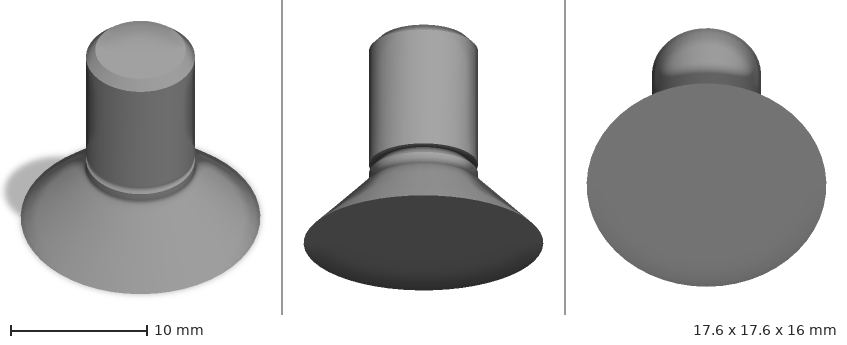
import cadquery as cq
import math

head_diameter = 17.59
total_height = 16.0
shank_diameter = 8.0
root_diameter = 6.65
groove_top_height = 6.23
neck_fillet_radius = 0.39

head_radius = head_diameter / 2
shank_radius = shank_diameter / 2
root_radius = root_diameter / 2
chamfer = shank_radius - root_radius

fillet_center_radius = shank_radius + neck_fillet_radius
half_turn = math.radians(22.5)
full_turn = math.radians(45)
cone_top_radius = fillet_center_radius - neck_fillet_radius * math.cos(full_turn)
cone_top_height = head_radius - cone_top_radius
fillet_top_height = cone_top_height + neck_fillet_radius * math.sin(full_turn)
fillet_middle = (
    fillet_center_radius - neck_fillet_radius * math.cos(half_turn),
    fillet_top_height - neck_fillet_radius * math.sin(half_turn),
)

profile = (
    cq.Workplane("XZ")
    .moveTo(0, 0)
    .lineTo(head_radius, 0)
    .lineTo(cone_top_radius, cone_top_height)
    .threePointArc(fillet_middle, (shank_radius, fillet_top_height))
    .lineTo(shank_radius, groove_top_height - chamfer)
    .lineTo(root_radius, groove_top_height)
    .lineTo(shank_radius, groove_top_height)
    .lineTo(shank_radius, total_height - chamfer)
    .lineTo(root_radius, total_height)
    .lineTo(0, total_height)
    .close()
)

result = profile.revolve(360, (0, 0, 0), (0, 1, 0))